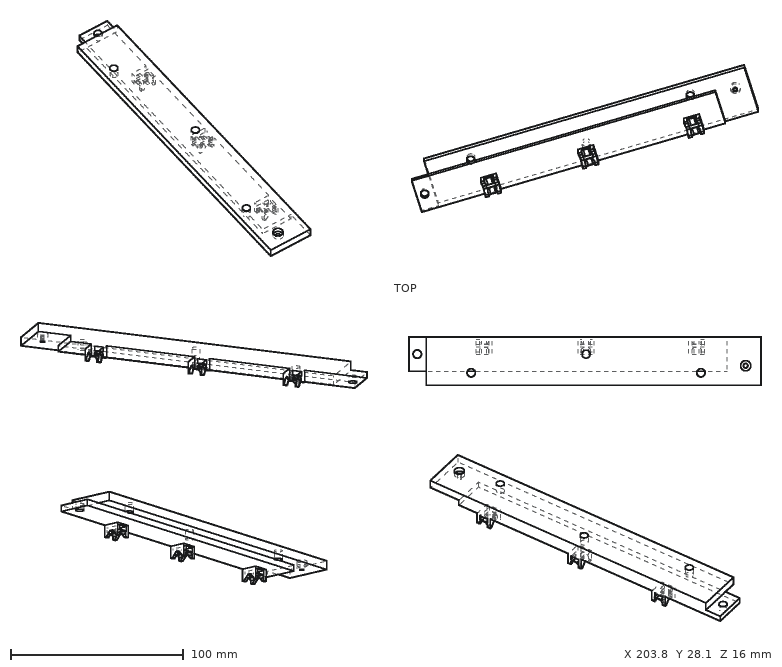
import cadquery as cq


total_length = 203.8
total_height = 16.0
plate_width = 28.1
plate_thickness = 5.3
tongue_length = 10.0
rail_length = 183.8
rail_width = 20.0
rail_thickness = 3.7

foot_length = 9.4
foot_width = 10.0
foot_left_ends = (38.7, 97.6, 161.6)
foot_height = total_height - plate_thickness - rail_thickness

window_length = 5.5
window_height = 2.6
window_roof = 1.0
arch_width = 5.3
arch_height = 3.0
arch_corner = 1.2
saddle_width = 7.3
saddle_height = 3.3
saddle_crown_width = 1.6

tongue_hole_diameter = 4.7
tongue_hole_x = 4.9
dowel_hole_diameter = 4.7
dowel_hole_x = 102.5
front_hole_diameter = 4.7
front_hole_inset = 20.8
front_hole_offset = 66.5
stepped_hole_x = 194.8
stepped_hole_inset = 16.7
stepped_hole_diameter = 2.5
counterbore_diameter = 6.0
counterbore_depth = plate_thickness / 2

rail_bottom = foot_height
plate_bottom = rail_bottom + rail_thickness
rail_centre_inset = rail_width / 2


def back_aligned_bar(x_start, length, width, bottom, thickness):
    """Bar whose back face lies on the shared back plane y = 0."""
    return (
        cq.Workplane("XY")
        .box(length, width, thickness, centered=False)
        .translate((x_start, -width, bottom))
    )


def vertical_hole(x, inset, diameter, bottom, depth):
    """Cylinder at a given distance in front of the back face."""
    return cq.Workplane("XY", origin=(x, -inset, bottom)).circle(diameter / 2).extrude(depth)


def foot(x_start):
    """Foot with a strap window and arch along Y and a saddle notch along X."""
    body = back_aligned_bar(x_start, foot_length, foot_width, 0, foot_height)
    x_centre = x_start + foot_length / 2

    window = (
        cq.Workplane("XY")
        .box(window_length, foot_width, window_height, centered=(True, False, False))
        .translate((x_centre, -foot_width, foot_height - window_roof - window_height))
    )

    arch = (
        cq.Workplane("XZ", origin=(x_centre, 0, 0))
        .moveTo(-arch_width / 2, 0)
        .lineTo(-arch_width / 2, arch_height - arch_corner)
        .lineTo(-arch_width / 2 + arch_corner, arch_height)
        .lineTo(arch_width / 2 - arch_corner, arch_height)
        .lineTo(arch_width / 2, arch_height - arch_corner)
        .lineTo(arch_width / 2, 0)
        .close()
        .extrude(foot_width)
    )

    saddle = (
        cq.Workplane("YZ", origin=(x_start, -foot_width / 2, 0))
        .moveTo(-saddle_width / 2, 0)
        .lineTo(-saddle_crown_width / 2, saddle_height)
        .lineTo(saddle_crown_width / 2, saddle_height)
        .lineTo(saddle_width / 2, 0)
        .close()
        .extrude(foot_length)
    )
    return body.cut(window).cut(arch).cut(saddle)


plate = back_aligned_bar(
    tongue_length, total_length - tongue_length, plate_width, plate_bottom, plate_thickness
)
plate = plate.cut(
    vertical_hole(dowel_hole_x, rail_centre_inset, dowel_hole_diameter, plate_bottom, plate_thickness)
)
for side in (-1, 1):
    front_hole_x = dowel_hole_x + side * front_hole_offset
    plate = plate.cut(
        vertical_hole(front_hole_x, front_hole_inset, front_hole_diameter, plate_bottom, plate_thickness)
    )

plate = plate.cut(
    vertical_hole(
        stepped_hole_x, stepped_hole_inset, stepped_hole_diameter, plate_bottom, plate_thickness
    )
)
plate = plate.cut(
    vertical_hole(
        stepped_hole_x,
        stepped_hole_inset,
        counterbore_diameter,
        total_height - counterbore_depth,
        counterbore_depth,
    )
)

rail = back_aligned_bar(0, rail_length, rail_width, rail_bottom, rail_thickness)
rail = rail.cut(
    vertical_hole(tongue_hole_x, rail_centre_inset, tongue_hole_diameter, rail_bottom, rail_thickness)
)

result = plate.union(rail)
for left_end in foot_left_ends:
    result = result.union(foot(left_end))